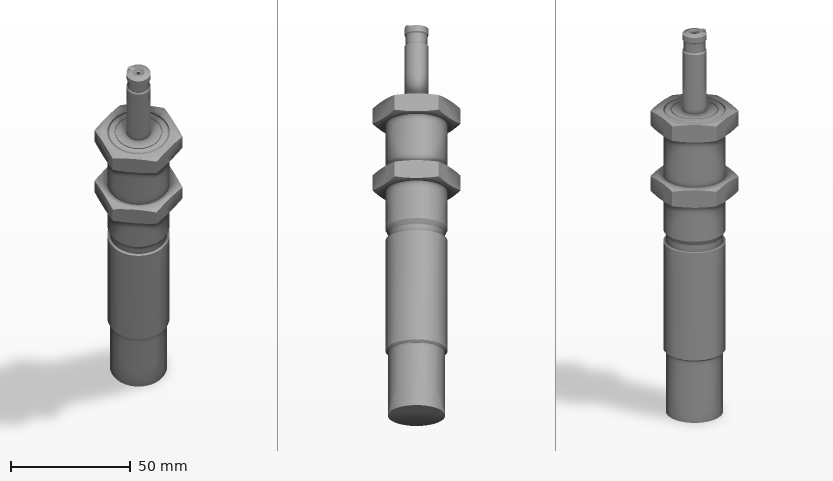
import cadquery as cq
import math

TOTAL_HEIGHT = 173.5

BODY_DIAMETER = 26.0
BODY_TOP = 138.0
BODY_TOP_CHAMFER = 0.9
SHOULDER_BOTTOM = 28.1
SHOULDER_CHAMFER = 0.9
TAIL_DIAMETER = 24.0

NECK_DIAMETER = 23.8
NECK_BOTTOM = 78.1
NECK_TOP = 81.2
NECK_TAPER_TOP = 83.3

FACE_RING_INNER = 19.0
FACE_RING_OUTER = 20.0
FACE_RING_DEPTH = 0.5

ROD_DIAMETER = 10.0
ROD_NECK_DIAMETER = 9.0
ROD_NECK_BOTTOM = 165.0
ROD_NECK_TOP = 170.3
ROD_EDGE_HEIGHT = 0.5
TIP_CONE_HEIGHT = 0.7

TIP_HOLE_DIAMETER = 5.0
TIP_HOLE_FLOOR_DIAMETER = 3.3
TIP_HOLE_DEPTH = 0.9
TIP_BORE_DIAMETER = 1.7
TIP_BORE_DEPTH = 2.6
TIP_RIB_WIDTH = 1.9

NUT_ACROSS_FLATS = 32.0
NUT_HEIGHT = 8.0
NUT_CHAMFER_HEIGHT = 0.7
NUT_BOTTOMS = (100.2, BODY_TOP - NUT_HEIGHT)


def make_absorber_profile():
    """Solid of revolution: tail, sleeve and piston rod."""
    body_r = BODY_DIAMETER / 2
    tail_r = TAIL_DIAMETER / 2
    neck_r = NECK_DIAMETER / 2
    rod_r = ROD_DIAMETER / 2
    rod_neck_r = ROD_NECK_DIAMETER / 2
    outline = [
        (0, 0),
        (tail_r, 0),
        (tail_r, SHOULDER_BOTTOM),
        (body_r - SHOULDER_CHAMFER, SHOULDER_BOTTOM),
        (body_r, SHOULDER_BOTTOM + SHOULDER_CHAMFER),
        (body_r, NECK_BOTTOM),
        (neck_r, NECK_BOTTOM),
        (neck_r, NECK_TOP),
        (body_r, NECK_TAPER_TOP),
        (body_r, BODY_TOP - BODY_TOP_CHAMFER),
        (body_r - BODY_TOP_CHAMFER, BODY_TOP),
        (rod_r, BODY_TOP),
        (rod_r, ROD_NECK_BOTTOM),
        (rod_neck_r, ROD_NECK_BOTTOM + ROD_EDGE_HEIGHT),
        (rod_neck_r, ROD_NECK_TOP - ROD_EDGE_HEIGHT),
        (rod_r, ROD_NECK_TOP),
        (rod_r, TOTAL_HEIGHT - TIP_CONE_HEIGHT),
        (TIP_HOLE_DIAMETER / 2, TOTAL_HEIGHT),
        (0, TOTAL_HEIGHT),
    ]
    return cq.Workplane("XZ").polyline(outline).close().revolve(360, (0, 0, 0), (0, 1, 0))


def make_face_ring():
    """Ring removed from the upper end face of the sleeve."""
    return (
        cq.Workplane("XY")
        .workplane(offset=BODY_TOP - FACE_RING_DEPTH)
        .circle(FACE_RING_OUTER / 2)
        .circle(FACE_RING_INNER / 2)
        .extrude(FACE_RING_DEPTH)
    )


def make_tip_rib():
    """Level rib from the tip centre to the rim on the -X side."""
    rod_r = ROD_DIAMETER / 2
    blank = (
        cq.Workplane("XY")
        .workplane(offset=TOTAL_HEIGHT - TIP_CONE_HEIGHT)
        .center(-rod_r / 2, 0)
        .rect(rod_r, TIP_RIB_WIDTH)
        .extrude(TIP_CONE_HEIGHT)
    )
    rod_envelope = cq.Workplane("XY").circle(rod_r).extrude(TOTAL_HEIGHT)
    return blank.intersect(rod_envelope)


def make_tip_hole():
    """Tapered recess in the rod tip with a narrow bore below it."""
    recess = (
        cq.Workplane("XY")
        .workplane(offset=TOTAL_HEIGHT - TIP_HOLE_DEPTH)
        .circle(TIP_HOLE_FLOOR_DIAMETER / 2)
        .workplane(offset=TIP_HOLE_DEPTH)
        .circle(TIP_HOLE_DIAMETER / 2)
        .loft()
    )
    bore = (
        cq.Workplane("XY")
        .workplane(offset=TOTAL_HEIGHT - TIP_BORE_DEPTH)
        .circle(TIP_BORE_DIAMETER / 2)
        .extrude(TIP_BORE_DEPTH)
    )
    return recess.union(bore)


def make_absorber():
    """Complete absorber body with its piston rod."""
    return make_absorber_profile().cut(make_face_ring()).union(make_tip_rib()).cut(make_tip_hole())


def make_nut(bottom):
    """Hexagonal nut, flats facing +X and -X, with corners chamfered on both ends."""
    across_corners = NUT_ACROSS_FLATS / math.cos(math.pi / 6)
    flat_r = NUT_ACROSS_FLATS / 2
    corner_r = across_corners / 2
    hexagon = cq.Workplane("XY").polygon(6, across_corners).extrude(NUT_HEIGHT)
    hexagon = hexagon.rotate((0, 0, 0), (0, 0, 1), 30)
    chamfer_outline = [
        (0, 0),
        (flat_r, 0),
        (corner_r, NUT_CHAMFER_HEIGHT),
        (corner_r, NUT_HEIGHT - NUT_CHAMFER_HEIGHT),
        (flat_r, NUT_HEIGHT),
        (0, NUT_HEIGHT),
    ]
    envelope = cq.Workplane("XZ").polyline(chamfer_outline).close().revolve(360, (0, 0, 0), (0, 1, 0))
    bore = cq.Workplane("XY").circle(BODY_DIAMETER / 2).extrude(NUT_HEIGHT)
    return hexagon.intersect(envelope).cut(bore).translate((0, 0, bottom))


absorber = make_absorber()
nuts = [make_nut(bottom) for bottom in NUT_BOTTOMS]

result = cq.Compound.makeCompound([absorber.val(), *[nut.val() for nut in nuts]])